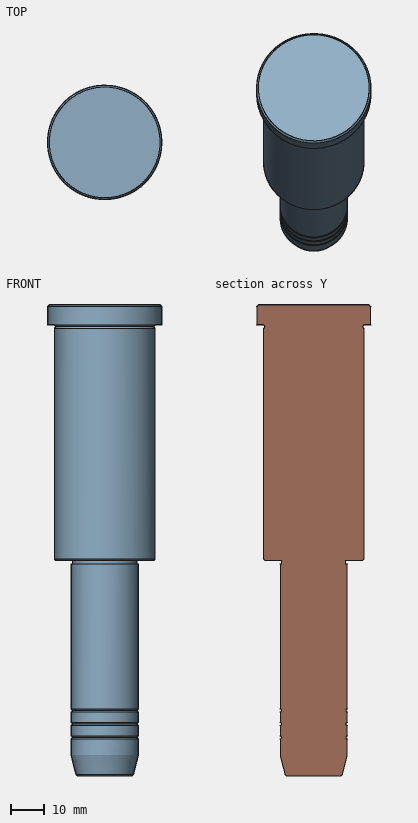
import cadquery as cq

total_length = 140.0
head_radius = 34.0 / 2
body_radius = 30.0 / 2
pin_radius = 20.0 / 2

head_height = 6.0
body_length = 70.0
head_bottom = total_length - head_height
body_bottom = head_bottom - body_length

head_chamfer = 0.5
body_chamfer = 0.4
tip_chamfer = 0.4

pin_relief_length = 1.0
pin_relief_depth = 0.4

nose_length = 6.2
nose_radius = 8.5

groove_width = 1.0
groove_depth = 0.4
head_groove_height = head_bottom - groove_width / 2
pin_groove_count = 3
first_pin_groove_height = 11.5
last_pin_groove_height = 19.5
pin_groove_pitch = (last_pin_groove_height - first_pin_groove_height) / (pin_groove_count - 1)


def revolve_around_z(profile):
    """Turn a closed profile of radius and height around the Z axis."""
    return profile.revolve(360, (0, 0, 0), (0, 1, 0))


def stepped_shank():
    """Head, body and pin with their edge breaks."""
    profile = (
        cq.Workplane("XZ")
        .moveTo(0, 0)
        .lineTo(nose_radius - tip_chamfer, 0)
        .lineTo(nose_radius, tip_chamfer)
        .lineTo(pin_radius, nose_length)
        .lineTo(pin_radius, body_bottom - pin_relief_length)
        .lineTo(pin_radius - pin_relief_depth, body_bottom - pin_relief_length)
        .lineTo(pin_radius - pin_relief_depth, body_bottom)
        .lineTo(body_radius - body_chamfer, body_bottom)
        .lineTo(body_radius, body_bottom + body_chamfer)
        .lineTo(body_radius, head_bottom)
        .lineTo(head_radius, head_bottom)
        .lineTo(head_radius, total_length - head_chamfer)
        .lineTo(head_radius - head_chamfer, total_length)
        .lineTo(0, total_length)
        .close()
    )
    return revolve_around_z(profile)


def groove_cutter(center_height, shank_radius):
    """Ring of triangular section that cuts a V groove into the shank."""
    profile = (
        cq.Workplane("XZ")
        .moveTo(shank_radius, center_height - groove_width / 2)
        .lineTo(shank_radius - groove_depth, center_height)
        .lineTo(shank_radius, center_height + groove_width / 2)
        .close()
    )
    return revolve_around_z(profile)


result = stepped_shank()
result = result.cut(groove_cutter(head_groove_height, body_radius))
for index in range(pin_groove_count):
    pin_groove_height = first_pin_groove_height + index * pin_groove_pitch
    result = result.cut(groove_cutter(pin_groove_height, pin_radius))